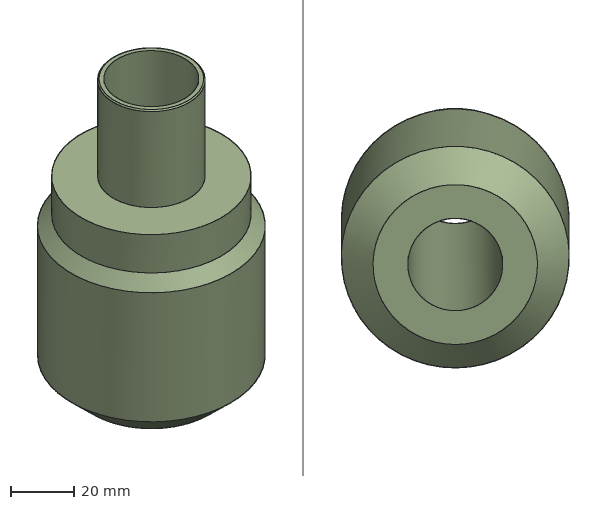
import cadquery as cq

total_height = 118.0
body_top = 65.0
collar_top = 80.0

body_diameter = 72.0
collar_diameter = 63.0
tube_diameter = 34.0
bore_diameter = 30.0

bottom_bevel = 10.0
tube_rim_bevel = 0.5
shoulder_bevel = (body_diameter - collar_diameter) / 2


def cylinder(diameter, bottom, top):
    """Upright cylinder on the Z axis between two heights."""
    return cq.Workplane("XY").workplane(offset=bottom).circle(diameter / 2).extrude(top - bottom)


body = cylinder(body_diameter, 0, body_top)
body = body.faces("<Z").chamfer(bottom_bevel)
body = body.faces(">Z").chamfer(shoulder_bevel)

collar = cylinder(collar_diameter, body_top, collar_top)
tube = cylinder(tube_diameter, collar_top, total_height)
tube = tube.faces(">Z").chamfer(tube_rim_bevel)

bore = cylinder(bore_diameter, 0, total_height)

result = body.union(collar).union(tube).cut(bore)